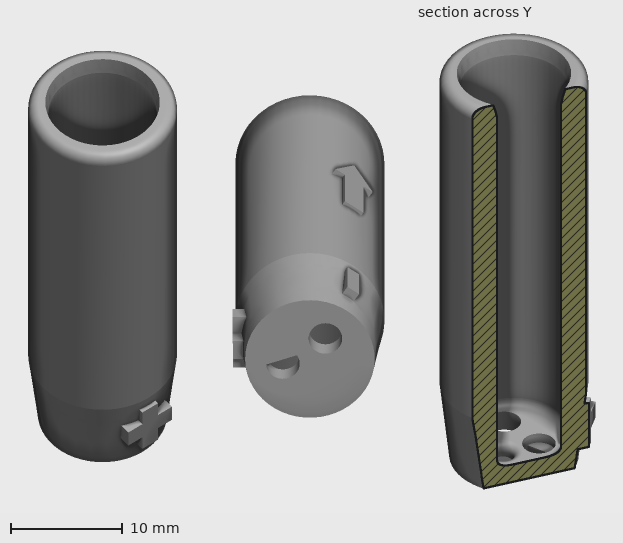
import cadquery as cq
import math

length = 42.25
outer_radius = 13.3 / 2
foot_radius = 5.8
taper_height = 8.1
rim_fillet = 1.0

bore_radius = 9.7 / 2
mouth_radius = 5.1
mouth_depth = 1.55
floor_thickness = 2.0
floor_fillet = 0.75

hole_pitch_radius = 2.45
hole_diameter = 3.0
open_hole_angle = 90
shelved_hole_angle = -45
blind_hole_angle = -135
blind_hole_diameter = 2.0
blind_hole_depth = 1.25
blind_hole_round = 0.75

shelf_thickness = floor_thickness / 2
shelf_offset = 0.4
shelf_angle = 37

total_depth = 13.65
arrow_face = total_depth - outer_radius
arrow_tip_z = 28.55
arrow_barb_z = 25.35
arrow_tail_z = 19.78
arrow_width = 4.0
arrow_shaft_width = 2.03

plus_angle = -34.7
plus_face = 6.9
plus_root = 5.3
plus_height = 4.5
plus_size = 4.95
plus_bar = 1.77

bar_face = 6.85
bar_root = 5.3
bar_bottom_z = 2.35
bar_top_z = 6.55
bar_width = 1.25


def make_shell():
    shell = (
        cq.Workplane("XZ")
        .moveTo(0, 0)
        .lineTo(foot_radius, 0)
        .lineTo(outer_radius, taper_height)
        .lineTo(outer_radius, length)
        .lineTo(0, length)
        .close()
        .revolve(360, (0, 0, 0), (0, 1, 0))
    )
    return shell.faces(">Z").edges().fillet(rim_fillet)


def make_bore():
    bore = (
        cq.Workplane("XY", origin=(0, 0, floor_thickness))
        .circle(bore_radius)
        .extrude(length - floor_thickness)
        .faces("<Z")
        .edges()
        .fillet(floor_fillet)
    )
    mouth = cq.Workplane(
        cq.Solid.makeCone(
            bore_radius, mouth_radius, mouth_depth, pnt=cq.Vector(0, 0, length - mouth_depth)
        )
    )
    return bore.union(mouth)


def pitch_point(angle):
    """Point on the pitch circle of the floor holes, at Z = 0."""
    turn = math.radians(angle)
    return cq.Vector(hole_pitch_radius * math.cos(turn), hole_pitch_radius * math.sin(turn), 0)


def make_floor_hole(angle):
    hole = cq.Workplane("XY").circle(hole_diameter / 2).extrude(floor_thickness + floor_fillet)
    return hole.translate(pitch_point(angle))


def make_shelved_hole():
    shelf = (
        cq.Workplane("XY")
        .rect(hole_diameter, 2 * hole_diameter)
        .extrude(shelf_thickness)
        .translate((shelf_offset + hole_diameter / 2, 0, 0))
        .rotate((0, 0, 0), (0, 0, 1), shelf_angle)
        .translate(pitch_point(shelved_hole_angle))
    )
    return make_floor_hole(shelved_hole_angle).cut(shelf)


def make_blind_hole():
    """Blind hole whose upper edge is rounded over into the floor."""
    radius = blind_hole_diameter / 2
    bottom_z = floor_thickness - blind_hole_depth
    diagonal = blind_hole_round * math.sqrt(0.5)
    round_centre_x = radius + blind_hole_round
    round_centre_z = floor_thickness - blind_hole_round
    hole = (
        cq.Workplane("XZ")
        .moveTo(0, bottom_z)
        .lineTo(radius, bottom_z)
        .lineTo(radius, round_centre_z)
        .threePointArc(
            (round_centre_x - diagonal, round_centre_z + diagonal),
            (round_centre_x, floor_thickness),
        )
        .lineTo(0, floor_thickness)
        .close()
        .revolve(360, (0, 0, 0), (0, 1, 0))
    )
    return hole.translate(pitch_point(blind_hole_angle))


def make_arrow():
    half_head = arrow_width / 2
    half_shaft = arrow_shaft_width / 2
    return (
        cq.Workplane("XZ", origin=(0, arrow_face, 0))
        .polyline(
            [
                (0, arrow_tip_z),
                (half_head, arrow_barb_z),
                (half_shaft, arrow_barb_z),
                (half_shaft, arrow_tail_z),
                (-half_shaft, arrow_tail_z),
                (-half_shaft, arrow_barb_z),
                (-half_head, arrow_barb_z),
            ]
        )
        .close()
        .extrude(arrow_face - (outer_radius + bore_radius) / 2)
    )


def make_plus():
    face = cq.Workplane("YZ", origin=(plus_root, 0, plus_height))
    depth = plus_face - plus_root
    level_bar = face.rect(plus_size, plus_bar).extrude(depth)
    upright_bar = face.rect(plus_bar, plus_size).extrude(depth)
    return level_bar.union(upright_bar).rotate((0, 0, 0), (0, 0, 1), plus_angle)


def make_bar():
    return cq.Workplane("XY").box(
        bar_width, bar_face - bar_root, bar_top_z - bar_bottom_z, centered=(True, False, False)
    ).translate((0, bar_root, bar_bottom_z))


result = (
    make_shell()
    .union(make_arrow())
    .union(make_plus())
    .union(make_bar())
    .cut(make_bore())
    .cut(make_floor_hole(open_hole_angle))
    .cut(make_shelved_hole())
    .cut(make_blind_hole())
)